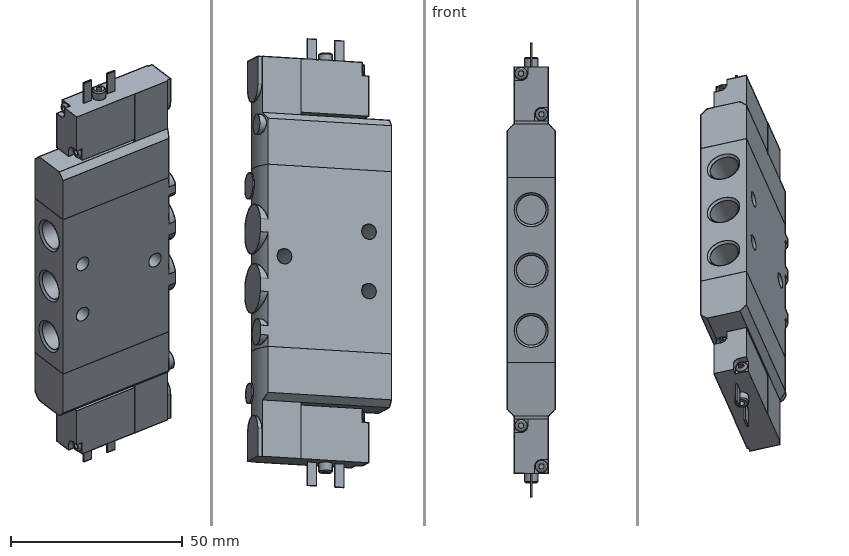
import cadquery as cq
WIDTH = 14.0
DEPTH = 40.4
LENGTH = 132.0
HALF_WIDTH = WIDTH / 2
FRONT_Y = -DEPTH / 2
BACK_Y = DEPTH / 2

BOSS_HEIGHT = 0.4
CREST_Y = BACK_Y - BOSS_HEIGHT
CROWN_EDGE_Y = 17.8

BODY_HALF_LENGTH = 26.9
PORT_PITCH = 17.5
PORT_DIAMETER = 8.6
PORT_MOUTH_DIAMETER = 9.9
PORT_MOUTH_DEPTH = 0.7
PORT_DEPTH = 10.5
BOSS_RADIUS = 7.3
BOSS_ROOT = 1.3
PAD_RADIUS = 3.8
PAD_X = 3.4
PAD_Z = 22.2
MOUNTING_HOLE_DIAMETER = 4.5
MOUNTING_HOLES = [(12.8, 0), (-13.2, PORT_PITCH / 2), (-13.2, -PORT_PITCH / 2)]

CAP_END_Z = 42.5
CAP_CHAMFER = 2.0
BUTTON_DIAMETER = 6.0
BUTTON_X = -3.4
BUTTON_Z = 39.2

BASE_HALF_WIDTH = HALF_WIDTH - CAP_CHAMFER
COIL_SIDE_STEP = 0.07
COIL_HALF_WIDTH = BASE_HALF_WIDTH - COIL_SIDE_STEP
COIL_TOP_Z = 59.1
COIL_FRONT_Y = -13.9
COIL_BACK_Y = 7.0
COIL_GAP = 0.8
COIL_BOTTOM_Z = CAP_END_Z + COIL_GAP
TAB_RADIUS = 4.6
TAB_CENTRE_Z = 51.0

POCKET_RADIUS = 2.0
POCKET_DEPTH = 2.0
SCREW_INSET = 2.0
SCREW_DIAMETER = 3.5
SCREW_HEIGHT = 0.8
SCREW_ROUNDING = 0.5
SCREW_SOCKET_DIAMETER = 1.6

POST_Y = -2.2
POST_DIAMETER = 4.0
POST_HEIGHT = 2.8
POST_CHAMFER = 0.4
POST_HOLE_DIAMETER = 1.6
BLADE_SPACING = 8.5
BLADE_WIDTH = 2.8
BLADE_THICKNESS = 0.5


def block(x_range, y_range, z_range):
    """Box between the given limits."""
    sizes = [high - low for low, high in (x_range, y_range, z_range)]
    return cq.Workplane().box(*sizes, centered=False).translate((x_range[0], y_range[0], z_range[0]))


def cylinder_along_y(radius, x, z, y_start, y_end):
    """Cylinder parallel to Y, from y_start to y_end."""
    return cq.Workplane(cq.Solid.makeCylinder(radius, y_end - y_start, cq.Vector(x, y_start, z), cq.Vector(0, 1, 0)))


def profile_bar(z_start, z_end):
    """Bar along Z with the crowned-back outline."""
    return (
        cq.Workplane("XY", origin=(0, 0, z_start))
        .moveTo(-HALF_WIDTH, FRONT_Y)
        .lineTo(HALF_WIDTH, FRONT_Y)
        .lineTo(HALF_WIDTH, CROWN_EDGE_Y)
        .threePointArc((0, CREST_Y), (-HALF_WIDTH, CROWN_EDGE_Y))
        .close()
        .extrude(z_end - z_start)
    )


def back_boss(radius, x, z):
    """Round boss on the back, cut off flush with the sides."""
    root_y = CROWN_EDGE_Y - BOSS_ROOT
    boss = cylinder_along_y(radius, x, z, root_y, BACK_Y)
    return boss.intersect(block((-HALF_WIDTH, HALF_WIDTH), (root_y, BACK_Y), (z - radius, z + radius)))


def make_valve_body():
    """Middle block with ports, mounting holes and bosses."""
    body = profile_bar(-BODY_HALF_LENGTH, BODY_HALF_LENGTH)
    for side in (1, -1):
        body = body.union(back_boss(BOSS_RADIUS, 0, side * PORT_PITCH / 2))
        body = body.union(back_boss(PAD_RADIUS, side * PAD_X, side * PAD_Z))
    for z in (-PORT_PITCH, 0, PORT_PITCH):
        port = cylinder_along_y(PORT_DIAMETER / 2, 0, z, FRONT_Y, FRONT_Y + PORT_DEPTH)
        mouth = cq.Workplane(cq.Solid.makeCone(
            PORT_MOUTH_DIAMETER / 2, PORT_DIAMETER / 2, PORT_MOUTH_DEPTH,
            cq.Vector(0, FRONT_Y, z), cq.Vector(0, 1, 0)))
        body = body.cut(port).cut(mouth)
    holes = (
        cq.Workplane("YZ", origin=(-HALF_WIDTH, 0, 0))
        .pushPoints(MOUNTING_HOLES)
        .circle(MOUNTING_HOLE_DIAMETER / 2)
        .extrude(WIDTH)
    )
    return body.cut(holes)


def make_cap():
    """Chamfered block next to the valve body, with a button boss on its back."""
    cap = profile_bar(BODY_HALF_LENGTH, CAP_END_Z)
    cap = cap.union(back_boss(BUTTON_DIAMETER / 2, BUTTON_X, BUTTON_Z))
    return cap.faces(">Z").edges("|Y").chamfer(CAP_CHAMFER)


def make_base():
    """Solenoid base with a round-ended tab on its back."""
    base = profile_bar(CAP_END_Z, COIL_TOP_Z).intersect(
        block((-BASE_HALF_WIDTH, BASE_HALF_WIDTH), (COIL_BACK_Y, BACK_Y), (CAP_END_Z, COIL_TOP_Z)))
    tab = block((-TAB_RADIUS, TAB_RADIUS), (COIL_BACK_Y, BACK_Y), (TAB_CENTRE_Z, COIL_TOP_Z))
    tab_end = cylinder_along_y(TAB_RADIUS, 0, TAB_CENTRE_Z, COIL_BACK_Y, BACK_Y)
    return base.union(tab).union(tab_end)


def add_screw(coil, x_side, corner_z, z_side):
    """Corner pocket with a screw head; x_side and z_side point from the screw to the corner."""
    corner_x = x_side * COIL_HALF_WIDTH
    x = corner_x - x_side * SCREW_INSET
    z = corner_z - z_side * SCREW_INSET
    floor_y = COIL_FRONT_Y + POCKET_DEPTH
    y_range = (COIL_FRONT_Y, floor_y)
    inner_x = x - x_side * POCKET_RADIUS
    inner_z = z - z_side * POCKET_RADIUS
    coil = coil.cut(cylinder_along_y(POCKET_RADIUS, x, z, *y_range))
    coil = coil.cut(block(sorted((inner_x, corner_x)), y_range, sorted((z, corner_z))))
    coil = coil.cut(block(sorted((x, corner_x)), y_range, sorted((inner_z, corner_z))))
    head = cylinder_along_y(SCREW_DIAMETER / 2, x, z, floor_y - SCREW_HEIGHT, floor_y)
    head = head.faces("<Y").edges().fillet(SCREW_ROUNDING)
    socket = cylinder_along_y(SCREW_SOCKET_DIAMETER / 2, x, z, floor_y - SCREW_HEIGHT, floor_y)
    return coil.union(head.cut(socket))


def make_coil():
    """Coil block held clear of the cap, with its screws, post and blades."""
    coil = block((-COIL_HALF_WIDTH, COIL_HALF_WIDTH), (COIL_FRONT_Y, COIL_BACK_Y), (COIL_BOTTOM_Z, COIL_TOP_Z))
    coil = add_screw(coil, -1, COIL_TOP_Z, 1)
    coil = add_screw(coil, 1, COIL_BOTTOM_Z, -1)
    post = (
        cq.Workplane("XY", origin=(0, POST_Y, COIL_TOP_Z))
        .circle(POST_DIAMETER / 2)
        .extrude(POST_HEIGHT)
        .faces(">Z")
        .chamfer(POST_CHAMFER)
        .faces(">Z")
        .workplane()
        .hole(POST_HOLE_DIAMETER, POST_HEIGHT)
    )
    blades = (
        cq.Workplane("XY", origin=(0, POST_Y, COIL_TOP_Z))
        .rarray(1.3, BLADE_SPACING, 1, 2)
        .rect(BLADE_THICKNESS, BLADE_WIDTH)
        .extrude(LENGTH / 2 - COIL_TOP_Z)
    )
    return coil.union(post).union(blades)


def make_end_unit():
    """Cap, base and coil as one solid, at the +Z end of the valve."""
    return make_cap().union(make_base()).union(make_coil())


valve_body = make_valve_body()
end_units = [
    make_end_unit().rotate((0, 0, 0), (0, 1, 0), angle)
    for angle in (0, 180)
]
result = cq.Compound.makeCompound([valve_body.val(), *[unit.val() for unit in end_units]])